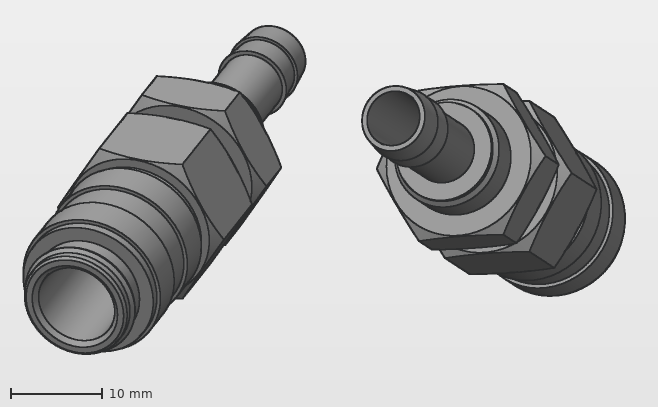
import cadquery as cq
import math

LENGTH = 60.0

ACROSS_CORNERS = 19.6
CORNER_RADIUS = ACROSS_CORNERS / 2
HEX_FACE_RADIUS = 8.4
HEX_CHAMFER_LENGTH = 0.8
HEX_START = 19.0
HEX_LENGTH = 10.0
HEX_END = HEX_START + HEX_LENGTH
NUT_START = 31.8
NUT_LENGTH = 6.05

SHANK_RADIUS = 6.05
SHANK_END = 41.9
COLLAR_RADIUS = 5.5
COLLAR_CHAMFER_END = 42.35
COLLAR_END = 42.9

TAIL_RADIUS = 3.55
BARB_TIP_RADIUS = 3.65
BARB_RADIUS = 4.0
BARB_LENGTH = 3.35
BARB_COUNT = 2
TAIL_END = LENGTH - BARB_COUNT * BARB_LENGTH

SLEEVE_RADIUS = 8.1
SLEEVE_STEP_RADIUS = 7.7
SLEEVE_START = 4.0
FRONT_BAND_START = 5.1
GROOVE_START = 9.25
GROOVE_END = 13.2
REAR_BAND_END = 17.4
SLEEVE_END = 18.5
NECK_RADIUS = 6.9

MOUTH_RADIUS = 6.05
MOUTH_CHAMFER = 0.3

LIP_FRONT = 1.15
LIP_CREST = 1.55
LIP_RADIUS = 6.5

SOCKET_RADIUS = 4.5
SOCKET_MOUTH_RADIUS = 5.05
SOCKET_CHAMFER = 0.55
SOCKET_DEPTH = HEX_START
COUNTERBORE_RADIUS = 3.6
COUNTERBORE_END = NUT_START
BORE_RADIUS = 3.05


def turn(profile):
    """Revolve a closed (radius, Y) profile about the Y axis."""
    return cq.Workplane("XY").polyline(profile).close().revolve(360, (0, 0, 0), (0, 1, 0))


def cylinder(radius, start, end):
    """Solid cylinder on the Y axis between two Y positions."""
    return turn([(0, start), (radius, start), (radius, end), (0, end)])


def chamfered_hexagon(start, length):
    """Hexagonal prism on the Y axis, corners on +X and -X, with both ends turned to a cone."""
    end = start + length
    prism = (
        cq.Workplane("XZ", origin=(0, start, 0))
        .polygon(6, ACROSS_CORNERS)
        .extrude(-length)
    )
    envelope = turn([
        (0, start),
        (HEX_FACE_RADIUS, start),
        (CORNER_RADIUS, start + HEX_CHAMFER_LENGTH),
        (CORNER_RADIUS, end - HEX_CHAMFER_LENGTH),
        (HEX_FACE_RADIUS, end),
        (0, end),
    ])
    return prism.intersect(envelope)


def socket_mouth():
    """Front tube with a chamfered rim and a lip that is ramped in front and rounded behind."""
    lip_height = LIP_RADIUS - MOUTH_RADIUS
    lip_rear = LIP_CREST + lip_height
    diagonal_offset = lip_height * math.cos(math.pi / 4)
    lip_back = (MOUTH_RADIUS + diagonal_offset, LIP_CREST + diagonal_offset)
    return (
        cq.Workplane("XY")
        .moveTo(0, 0)
        .lineTo(MOUTH_RADIUS - MOUTH_CHAMFER, 0)
        .lineTo(MOUTH_RADIUS, MOUTH_CHAMFER)
        .lineTo(MOUTH_RADIUS, LIP_FRONT)
        .lineTo(LIP_RADIUS, LIP_CREST)
        .threePointArc(lip_back, (MOUTH_RADIUS, lip_rear))
        .lineTo(MOUTH_RADIUS, SLEEVE_START)
        .lineTo(0, SLEEVE_START)
        .close()
        .revolve(360, (0, 0, 0), (0, 1, 0))
    )


def locking_sleeve():
    """Sleeve with two raised grip bands, and the neck that joins it to the hexagon."""
    return (
        cylinder(SLEEVE_STEP_RADIUS, SLEEVE_START, SLEEVE_END)
        .union(cylinder(SLEEVE_RADIUS, FRONT_BAND_START, GROOVE_START))
        .union(cylinder(SLEEVE_RADIUS, GROOVE_END, REAR_BAND_END))
        .union(cylinder(NECK_RADIUS, SLEEVE_END, HEX_START))
    )


def shank():
    """Shank ending in a chamfer and a narrower collar."""
    return turn([
        (0, HEX_END),
        (SHANK_RADIUS, HEX_END),
        (SHANK_RADIUS, SHANK_END),
        (COLLAR_RADIUS, COLLAR_CHAMFER_END),
        (COLLAR_RADIUS, COLLAR_END),
        (0, COLLAR_END),
    ])


def hose_tail():
    """Plain tail followed by barbs that taper towards the hose end."""
    tail = cylinder(TAIL_RADIUS, COLLAR_END, TAIL_END)
    for index in range(BARB_COUNT):
        start = TAIL_END + index * BARB_LENGTH
        end = start + BARB_LENGTH
        barb = turn([(0, start), (BARB_RADIUS, start), (BARB_TIP_RADIUS, end), (0, end)])
        tail = tail.union(barb)
    return tail


def stepped_bore():
    """Chamfered socket, counterbore and through bore."""
    return turn([
        (0, 0),
        (SOCKET_MOUTH_RADIUS, 0),
        (SOCKET_RADIUS, SOCKET_CHAMFER),
        (SOCKET_RADIUS, SOCKET_DEPTH),
        (COUNTERBORE_RADIUS, SOCKET_DEPTH),
        (COUNTERBORE_RADIUS, COUNTERBORE_END),
        (BORE_RADIUS, COUNTERBORE_END),
        (BORE_RADIUS, LENGTH),
        (0, LENGTH),
    ])


def coupling_body():
    """Everything but the nut, bored through along Y."""
    return (
        socket_mouth()
        .union(locking_sleeve())
        .union(chamfered_hexagon(HEX_START, HEX_LENGTH))
        .union(shank())
        .union(hose_tail())
        .cut(stepped_bore())
    )


def lock_nut():
    """Hexagonal nut that fits the shank."""
    shank_hole = cylinder(SHANK_RADIUS, NUT_START, NUT_START + NUT_LENGTH)
    return chamfered_hexagon(NUT_START, NUT_LENGTH).cut(shank_hole)


body = coupling_body()
nut = lock_nut()

result = cq.Compound.makeCompound([body.val(), nut.val()])